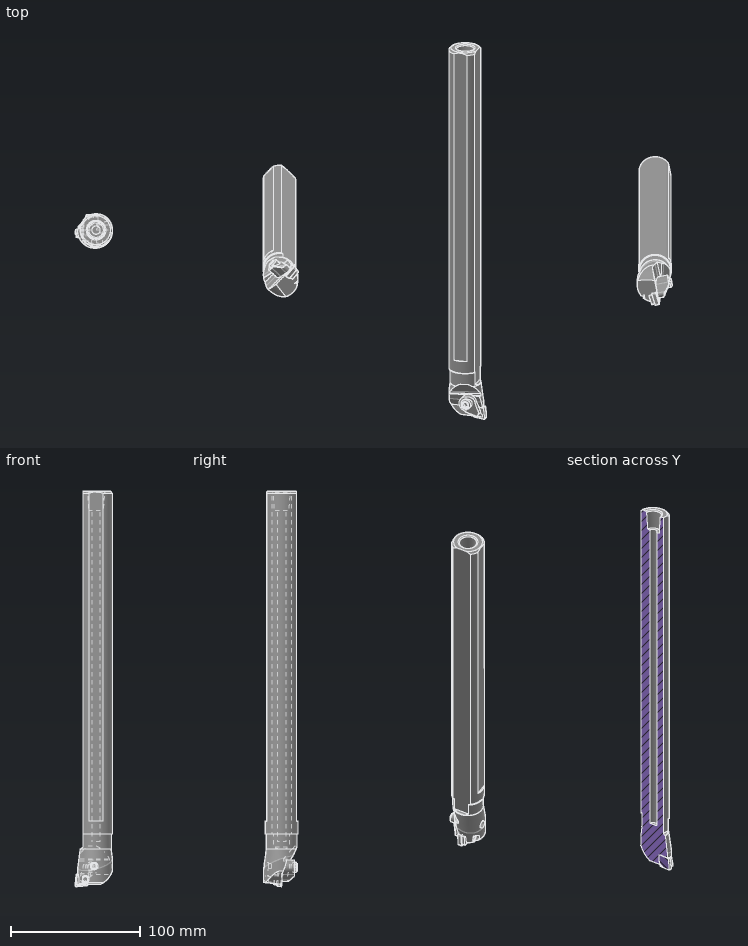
import cadquery as cq
import math


bar_length = 304.8
shank_radius = 25.4 / 2
end_chamfer = 1.6
back_flat_x = -10.2
side_flat_y = 11.54
side_flat_end_z = 50.6

neck_radius = 11.9
neck_top_z = 40.6
flat_runout_top_z = 30.6

head_top_z = 29.2
head_top_radius = 12.0
head_top_center_x = -0.3
head_flare_angle = 7.5
head_radius = 13.45
head_center_x = -0.75
head_min_y = -14.06
head_center_y = head_min_y + head_radius

sole_flat_z = 1.6
sole_slope_z = 1.9
sole_slope_angle = 5.5
heel_corner_x = 3.5
heel_middle_x = 8.4
heel_middle_z = 5.4
heel_side_z = 12.3

pocket_floor_y = 0.2
pocket_open_y = 20.0
pocket_floor_outline = [(4.0, 20.5), (2.4, 15.0), (pocket_floor_y, 9.5), (pocket_floor_y, -1.0)]
pocket_wall_outline = [(13.5, 31.5), (8.0, 23.4), (6.5, 21.5), (6.5, 20.0)]
pocket_wall_turn = 14.0
pocket_wall_pivot_x = 8.0

port_mouth_radius = 7.6
port_top_radius = 6.7
port_bottom_radius = 5.6
port_mouth_depth = port_mouth_radius - port_top_radius
port_depth = 15.0
coolant_radius = 3.2
coolant_end_z = 35.0

side_holes = [(-1.5, 16.0, -8.0), (-8.4, 5.8, -6.0)]
side_hole_radius = 2.0
side_hole_mouth_radius = 2.9
side_hole_step_y = -10.0

clamp_center_x = -4.2
clamp_center_z = 15.0
clamp_radius = 5.8
clamp_nose_x = -10.0
clamp_nose_z = 6.5
clamp_nose_radius = 2.5
clamp_top_y = 10.0
clamp_slope_angle = 35.0
screw_top_y = 12.2
screw_radius = 4.0
screw_chamfer = 1.2
socket_across_corners = 4.6
socket_depth = 2.5
underside_start_y = 0.5
underside_angle = 41.0

insert_inscribed_circle = 9.525
insert_angle = 80.0
insert_thickness = 3.18
insert_tilt = 6.0
nose_radius = 0.8
nose_x = -16.28
edge_clearance = (90.0 - insert_angle) / 2
insert_edge = insert_inscribed_circle / math.sin(math.radians(insert_angle))

shim_thickness = 2.6
shim_inset = 0.9

cut_size = 60.0


def disc(radius, x, y, bottom_z, top_z):
    """An upright cylinder."""
    return cq.Workplane("XY", origin=(x, y, bottom_z)).circle(radius).extrude(top_z - bottom_z)


def box_between(x_range, y_range, z_range):
    """A box given by its limits along each axis."""
    lengths = [end - start for start, end in (x_range, y_range, z_range)]
    corner = (x_range[0], y_range[0], z_range[0])
    return cq.Workplane("XY").box(*lengths, centered=False).translate(corner)


def y_cylinder(x, z, radius, start_y, end_y):
    """A cylinder along Y."""
    plane = cq.Plane(origin=(x, start_y, z), xDir=(1, 0, 0), normal=(0, 1, 0))
    return cq.Workplane(plane).circle(radius).extrude(end_y - start_y)


def half_space_below(angle):
    """A large block below a plane through the X axis that rises towards +Y by the angle."""
    span = (-cut_size, cut_size)
    return box_between(span, span, (-cut_size, 0)).rotate((0, 0, 0), (1, 0, 0), angle)


def make_shank():
    shank = disc(shank_radius, 0, 0, neck_top_z, bar_length).faces(">Z").chamfer(end_chamfer)
    for side in (-1, 1):
        limits = sorted((side * side_flat_y, side * cut_size))
        shank = shank.cut(box_between((-cut_size, cut_size), limits, (side_flat_end_z, bar_length)))
    return shank.union(disc(neck_radius, 0, 0, head_top_z, neck_top_z))


def cut_back_flat(bar):
    """The -X flat runs over shank and neck and slopes out at the top of the head."""
    slope_end_x = back_flat_x - (flat_runout_top_z - head_top_z)
    cutter = (
        cq.Workplane("XZ")
        .moveTo(back_flat_x, bar_length)
        .lineTo(back_flat_x, flat_runout_top_z)
        .lineTo(slope_end_x, head_top_z)
        .lineTo(-cut_size, head_top_z)
        .lineTo(-cut_size, bar_length)
        .close()
        .extrude(cut_size, both=True)
    )
    return bar.cut(cutter)


def make_head():
    base_radius = head_top_radius + head_top_z * math.tan(math.radians(head_flare_angle))
    cone = cq.Workplane("XY").add(
        cq.Solid.makeCone(base_radius, head_top_radius, head_top_z, pnt=cq.Vector(head_top_center_x, 0, 0))
    )
    head = cone.intersect(disc(head_radius, head_center_x, head_center_y, sole_flat_z, head_top_z))
    heel = (
        cq.Workplane("XZ")
        .moveTo(heel_corner_x, -cut_size)
        .lineTo(heel_corner_x, sole_slope_z)
        .threePointArc((heel_middle_x, heel_middle_z), (shank_radius, heel_side_z))
        .lineTo(cut_size, heel_side_z)
        .lineTo(cut_size, -cut_size)
        .close()
        .extrude(cut_size, both=True)
    )
    sole = half_space_below(-sole_slope_angle).translate((0, 0, sole_slope_z))
    return head.cut(heel).cut(sole)


def pocket_cutter(outline):
    """A cutter running along X, between an outline in the YZ plane and the open +Y side."""
    points = [(pocket_open_y, outline[0][1]), *outline, (pocket_open_y, outline[-1][1])]
    return cq.Workplane("YZ").polyline(points).close().extrude(cut_size, both=True)


def cut_chip_pocket(bar):
    """The upper wall is turned about Z so that it lies deeper on the -X side."""
    pivot = (pocket_wall_pivot_x, 0, 0)
    axis_end = (pocket_wall_pivot_x, 0, 1)
    wall = pocket_cutter(pocket_wall_outline).rotate(pivot, axis_end, pocket_wall_turn)
    return bar.cut(pocket_cutter(pocket_floor_outline)).cut(wall)


def make_clamp():
    """A tapered clamp plate falling towards its nose, with a socket screw and a sloping underside."""
    height = clamp_top_y - pocket_floor_y
    plate = y_cylinder(clamp_center_x, clamp_center_z, clamp_radius, pocket_floor_y, clamp_top_y)
    nose = y_cylinder(clamp_nose_x, clamp_nose_z, clamp_nose_radius, pocket_floor_y, clamp_top_y)
    run_x = clamp_nose_x - clamp_center_x
    run_z = clamp_nose_z - clamp_center_z
    run = math.hypot(run_x, run_z)
    across = (-run_z / run, run_x / run)

    def flank_point(x, z, radius):
        return (x + radius * across[0], z + radius * across[1])

    web = (
        cq.Workplane("XZ", origin=(0, clamp_top_y, 0))
        .polyline([
            flank_point(clamp_center_x, clamp_center_z, clamp_radius),
            flank_point(clamp_nose_x, clamp_nose_z, clamp_nose_radius),
            flank_point(clamp_nose_x, clamp_nose_z, -clamp_nose_radius),
            flank_point(clamp_center_x, clamp_center_z, -clamp_radius),
        ])
        .close()
        .extrude(height)
    )
    slope = box_between((-cut_size, cut_size), (0, cut_size), (-cut_size, cut_size))
    slope = slope.rotate((0, 0, 0), (0, 0, 1), clamp_slope_angle)
    slope = slope.translate((clamp_center_x, clamp_top_y, 0))
    plate = plate.union(nose).union(web).cut(slope)
    screw = y_cylinder(clamp_center_x, clamp_center_z, screw_radius, pocket_floor_y, screw_top_y)
    screw = screw.faces(">Y").chamfer(screw_chamfer)
    socket = (
        cq.Workplane("XZ", origin=(clamp_center_x, screw_top_y, clamp_center_z))
        .polygon(6, socket_across_corners)
        .extrude(socket_depth)
    )
    underside = half_space_below(underside_angle).translate((0, underside_start_y, 0))
    return plate.union(screw).cut(socket).cut(underside)


def insert_blank(inset, top_offset, thickness):
    """A rhombic plate tilted at the nose, set in from the insert edges and below its top face."""
    start = math.radians(edge_clearance)
    end = start + math.radians(insert_angle)
    edge_a = (insert_edge * math.cos(start), insert_edge * math.sin(start))
    edge_b = (insert_edge * math.cos(end), insert_edge * math.sin(end))
    far = (edge_a[0] + edge_b[0], edge_a[1] + edge_b[1])
    plate = (
        cq.Workplane("XZ", origin=(0, -top_offset, 0))
        .polyline([(0, 0), edge_a, far, edge_b])
        .close()
        .offset2D(-inset - nose_radius)
        .offset2D(nose_radius)
        .extrude(thickness)
    )
    return plate.rotate((0, 0, 0), (1, 0, 0), -insert_tilt).rotate((0, 0, 0), (0, 0, 1), -insert_tilt)


def place_at_nose(plate, reference):
    """Move a plate by the shift that brings the reference insert to the nose position."""
    limits = reference.val().BoundingBox()
    return plate.translate((nose_x - limits.xmin, 0, -limits.zmin))


def downward_cone(top_radius, bottom_radius, depth):
    """A cone sunk into the shank end."""
    end_center = cq.Vector(0, 0, bar_length)
    cone = cq.Solid.makeCone(top_radius, bottom_radius, depth, pnt=end_center, dir=cq.Vector(0, 0, -1))
    return cq.Workplane("XY").add(cone)


def cut_coolant_bore(bar):
    """A tapered port with a countersunk mouth, above a long blind bore."""
    bore = disc(coolant_radius, 0, 0, coolant_end_z, bar_length)
    port = downward_cone(port_top_radius, port_bottom_radius, port_depth)
    mouth = downward_cone(port_mouth_radius, port_top_radius, port_mouth_depth)
    return bar.cut(bore).cut(port).cut(mouth)


def cut_side_holes(bar):
    for x, z, end_y in side_holes:
        bar = bar.cut(y_cylinder(x, z, side_hole_mouth_radius, -cut_size, side_hole_step_y))
        bar = bar.cut(y_cylinder(x, z, side_hole_radius, -cut_size, end_y))
    return bar


insert_reference = insert_blank(0, 0, insert_thickness)
insert = place_at_nose(insert_reference, insert_reference)
shim = place_at_nose(insert_blank(shim_inset, insert_thickness, shim_thickness), insert_reference)

bar = cut_back_flat(make_shank()).union(make_head())
bar = cut_chip_pocket(bar).union(shim).union(make_clamp())
bar = cut_coolant_bore(bar)
bar = cut_side_holes(bar)
bar = bar.cut(insert)

result = cq.Compound.makeCompound([*bar.vals(), insert.val()])